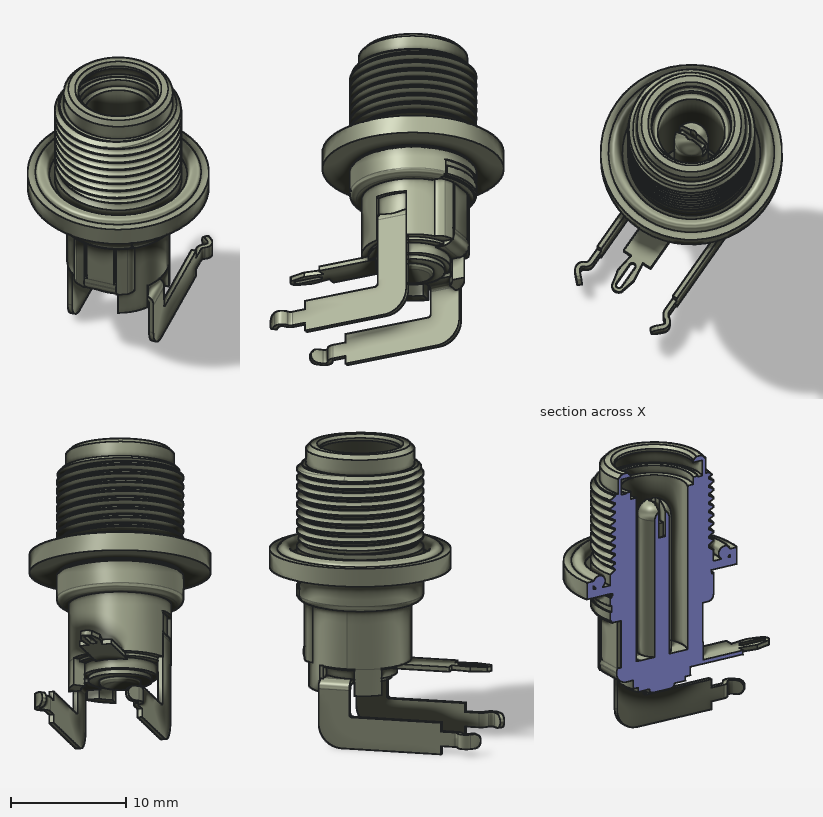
import cadquery as cq
import math


z_top = 10.95
flange_radius = 7.88
flange_height = 1.6
rim_radius = 4.73
rim_chamfer = 0.4
thread_top = 9.2
thread_bottom = 2.18
crest_radius = 5.52
root_radius = 5.02
thread_pitch = 0.8
thread_crest_width = 0.118
thread_flank_angle = 30.0
thread_depth = crest_radius - root_radius
collar_top = 1.85

seal_radius = 6.62
seal_section_radius = 0.63
seal_height = 1.37
recess_outer_radius = 7.2
recess_floor = 0.85

mouth_radius = 3.75
mouth_chamfer = 0.3
bore_step_radius = 3.47
clip_groove_radius = 4.35
clip_ledge_radius = 3.95
clip_ledge_height = 0.08
clip_groove_top = z_top - 0.53
clip_groove_bottom = z_top - 1.92
bore_step_floor = z_top - 2.52
bore_radius = 2.92
bore_floor = -6.83

pin_radius = 1.47
pin_top = 7.35
pin_hole_radius = 0.45
pin_slot_width = 0.65
pin_slot_depth = 3.15
pin_blade_width = 2.47
pin_blade_rear_y = 0.15
pin_blade_drop = 1.85

neck_radius = 5.35
neck_relief_radius = 5.28
neck_relief_bottom = -0.15
nut_top = -0.32
nut_bottom = -2.86
nut_fillet = 0.58
window_half_width = 2.97
window_top = -1.13
window_floor_radius = 5.39
latch_half_width = 2.86
latch_top = -1.68
latch_bottom = -2.73
latch_chamfer = 0.25

body_radius = 4.47
body_bottom = -8.15
base_radius = 3.9
base_bottom = -8.4
boss_radius = 3.23
boss_bottom = -9.35
boss_tip_radius = 2.75
boss_tip_bottom = -9.75
rivet_radius = 1.8
rivet_bottom = -10.15
rivet_fillet = 0.35

rib_radius = 4.85
rib_half_width = 2.36
rib_root_half_width = 2.78
rib_root_y = -math.sqrt(body_radius**2 - rib_root_half_width**2)
rib_flank_sagitta = 0.085
contact_half_width = 1.47
contact_y = -4.73
contact_bend_radius = 1.05
contact_bevel_bottom = -7.43
contact_bevel_top = -7.07
panel_half_width = 1.23
panel_y = -4.65
slot_floor_y = -4.25
spring_tip_y = -2.18
spring_bend_radius = 0.63
spring_bend_angle = 45.0

lug_bottom = -10.53
lug_inner_radius = 3.42
lug_front_x = 1.47
lug_rear_angle = 40.0
lug_slot_front_y = -2.65
lug_slot_rear_y = 0.68
lug_slot_step_x = 3.6
lug_slot_step_y = -2.35

sheet = 0.42
terminal_x = 3.97
terminal_bottom = z_top - 26.27
arm_top = -12.5
arm_end_y = 8.4
arm_corner_radius = 2.1
arm_inner_radius = 0.25
leg_width = 2.75
left_leg_front_y = -1.4
right_leg_front_y = -2.6
left_fold_z = -6.17
right_fold_z = -10.1
fold_radius = 0.8
left_slot_half_width = 1.42
left_slot_top = -4.02
left_slot_radius = 4.1
left_root_x = 3.15
right_root_x = 2.36
tail_bottom = -14.58
tail_top = -13.3
tail_bend_y = 9.65
tail_bends = (
    (-65, 0.58, 0.03),
    (110, 0.53, 1.08),
)
tail_corner_radius = 0.63

tab_top = body_bottom
tab_half_width = 1.42
eye_neck_half_width = 0.6
eye_half_width = 0.85
eye_mid_y = 10.15
eye_tip_half_width = 0.5
eye_tip_y = 11.82
eye_slot_width = 0.55
eye_slot_start_y = 8.85
eye_slot_end_y = 11.48


def cylinder(radius, z_low, z_high):
    return cq.Workplane("XY").workplane(offset=z_low).circle(radius).extrude(z_high - z_low)


def box(x_range, y_range, z_range):
    """Box from its limits along each axis."""
    lows, highs = zip(x_range, y_range, z_range)
    sizes = [high - low for low, high in zip(lows, highs)]
    return cq.Workplane("XY").box(*sizes, centered=False).translate(lows)


def revolve(points):
    """Turn a closed (radius, z) outline about Z."""
    return cq.Workplane("XZ").polyline(points).close().revolve(360, (0, 0, 0), (0, 1, 0))


def extrude_along_x(profile, x_low, x_high):
    """Extrude a closed YZ profile between two X positions."""
    return profile.extrude(x_high - x_low).translate((x_low, 0, 0))


def make_neck():
    return revolve([
        (0, 0),
        (flange_radius, 0),
        (flange_radius, flange_height),
        (recess_outer_radius, flange_height),
        (recess_outer_radius, recess_floor),
        (crest_radius, recess_floor),
        (crest_radius, collar_top),
        (root_radius, thread_bottom),
        (root_radius, thread_top),
        (rim_radius, thread_top),
        (rim_radius, z_top - rim_chamfer),
        (rim_radius - rim_chamfer, z_top),
        (0, z_top),
    ])


def make_thread():
    """Right-handed V ridge, trimmed by a cone at each end."""
    ridge_start = thread_bottom - thread_pitch / 2
    ridge_height = thread_top - thread_bottom + 2 * thread_pitch
    embed = 0.05
    crest_half = thread_crest_width / 2
    base_half = crest_half + (thread_depth + embed) * math.tan(math.radians(thread_flank_angle))
    section = cq.Workplane("XZ").polyline([
        (root_radius - embed, ridge_start - base_half),
        (crest_radius, ridge_start - crest_half),
        (crest_radius, ridge_start + crest_half),
        (root_radius - embed, ridge_start + base_half),
    ]).close()
    helix = cq.Wire.makeHelix(thread_pitch, ridge_height, root_radius)
    helix = helix.translate(cq.Vector(0, 0, ridge_start))
    ridge = section.sweep(cq.Workplane(obj=helix), isFrenet=True)
    envelope = revolve([
        (0, thread_bottom),
        (root_radius, thread_bottom),
        (crest_radius + embed, thread_bottom + thread_depth + embed),
        (crest_radius + embed, thread_top - thread_depth),
        (root_radius + embed, thread_top),
        (0, thread_top),
    ])
    return ridge.intersect(envelope)


def make_seal():
    section = cq.Workplane("XZ").center(seal_radius, seal_height).circle(seal_section_radius)
    return section.revolve(360, (-seal_radius, 0, 0), (-seal_radius, 1, 0))


def make_bore():
    return revolve([
        (0, z_top),
        (mouth_radius, z_top),
        (bore_step_radius, z_top - mouth_chamfer),
        (bore_step_radius, clip_groove_top),
        (clip_groove_radius, clip_groove_top),
        (clip_groove_radius, clip_groove_bottom),
        (clip_ledge_radius, clip_groove_bottom),
        (clip_ledge_radius, clip_groove_bottom + clip_ledge_height),
        (bore_step_radius, clip_groove_bottom + clip_ledge_height),
        (bore_step_radius, bore_step_floor),
        (bore_radius, bore_step_floor),
        (bore_radius, bore_floor),
        (0, bore_floor),
    ])


def make_pin():
    """Domed pin, cross-slotted along X, with a flat blade against the -Y wall of the slot."""
    pin = cylinder(pin_radius, bore_floor, pin_top - pin_radius)
    pin = pin.union(cq.Workplane("XY").sphere(pin_radius).translate((0, 0, pin_top - pin_radius)))
    slot_floor = pin_top - pin_slot_depth
    half_slot = pin_slot_width / 2
    half_blade = pin_blade_width / 2
    pin = pin.cut(cylinder(pin_hole_radius, slot_floor, pin_top))
    pin = pin.cut(box((-pin_radius, pin_radius), (-half_slot, half_slot), (slot_floor, pin_top)))
    blade_top = pin_top - pin_blade_drop
    return pin.union(box((-half_blade, half_blade), (-half_slot, pin_blade_rear_y), (slot_floor, blade_top)))


def make_nut():
    """Round collar with a latch in a window on its -Y side."""
    nut = cylinder(crest_radius, nut_bottom, nut_top).faces("<Z").edges().fillet(nut_fillet)
    window_x = (-window_half_width, window_half_width)
    window_y = (-flange_radius, 0)
    window = box(window_x, window_y, (nut_bottom, window_top))
    nut = nut.cut(window.cut(cylinder(window_floor_radius, nut_bottom, window_top)))
    nut = nut.cut(box(window_x, window_y, (nut_bottom, latch_bottom)))
    latch = cylinder(crest_radius, latch_bottom, latch_top).faces("<Z").edges().chamfer(latch_chamfer)
    latch = latch.intersect(
        box((-latch_half_width, latch_half_width), window_y, (latch_bottom, latch_top)))
    nut = nut.union(latch).union(cylinder(neck_radius, nut_top, neck_relief_bottom))
    return nut.union(cylinder(neck_relief_radius, neck_relief_bottom, 0))


def make_body():
    """Lower housing with its stepped end and riveted tip."""
    body = cylinder(body_radius, body_bottom, nut_top)
    body = body.union(cylinder(base_radius, base_bottom, body_bottom))
    body = body.union(cylinder(boss_radius, boss_bottom, base_bottom))
    body = body.union(cylinder(boss_tip_radius, boss_tip_bottom, boss_bottom))
    rivet = cylinder(rivet_radius, rivet_bottom, boss_tip_bottom)
    rivet = rivet.faces("<Z").edges().fillet(rivet_fillet)
    return body.union(rivet)


def make_rib():
    """Raised -Y sector of the housing with concave flanks."""
    shoulder_y = -math.sqrt(rib_radius**2 - rib_half_width**2)
    return (
        cq.Workplane("XY").workplane(offset=body_bottom)
        .moveTo(-rib_root_half_width, rib_root_y)
        .sagittaArc((-rib_half_width, shoulder_y), -rib_flank_sagitta)
        .threePointArc((0, -rib_radius), (rib_half_width, shoulder_y))
        .sagittaArc((rib_root_half_width, rib_root_y), -rib_flank_sagitta)
        .close()
        .extrude(latch_bottom - body_bottom)
    )


def cut_contact_slot(body):
    """Groove down the middle of the rib, where the contact strip lies."""
    slot_x = (-contact_half_width, contact_half_width)
    return body.cut(box(slot_x, (-flange_radius, slot_floor_y), (base_bottom, latch_bottom)))


def make_contact():
    """Sheet strip bent up from under the housing, narrower and set back above a bevel."""
    bend_z = tab_top - sheet + contact_bend_radius
    bend_y = contact_y + contact_bend_radius
    diagonal = contact_bend_radius * math.sqrt(0.5)
    foot = (
        cq.Workplane("YZ")
        .moveTo(bend_y, tab_top - sheet)
        .threePointArc((bend_y - diagonal, bend_z - diagonal), (contact_y, bend_z))
        .lineTo(contact_y, contact_bevel_bottom)
        .lineTo(panel_y, contact_bevel_top)
        .lineTo(bend_y, contact_bevel_top)
        .close()
    )
    foot = extrude_along_x(foot, -contact_half_width, contact_half_width)
    panel = box((-panel_half_width, panel_half_width), (panel_y, bend_y), (contact_bevel_top, latch_bottom))
    return foot.union(panel)


def make_spring():
    """Contact leaf that curves up from the bore floor toward the -Y wall."""
    wall_y = -bore_radius - sheet

    def bend_point(angle):
        turn = math.radians(angle)
        rise = spring_bend_radius * (1 - math.cos(turn))
        return spring_tip_y - spring_bend_radius * math.sin(turn), bore_floor + rise

    bend_end = bend_point(spring_bend_angle)
    profile = (
        cq.Workplane("YZ")
        .moveTo(wall_y, bore_floor)
        .lineTo(spring_tip_y, bore_floor)
        .threePointArc(bend_point(spring_bend_angle / 2), bend_end)
        .lineTo(wall_y, bend_end[1])
        .close()
    )
    return extrude_along_x(profile, -panel_half_width, panel_half_width)


def make_lug():
    """Ring sector hanging under the +X side, slotted for the right terminal."""
    ring = cylinder(body_radius, lug_bottom, body_bottom)
    ring = ring.cut(cylinder(lug_inner_radius, lug_bottom, body_bottom))
    reach = 2 * body_radius
    rear_angle = math.radians(lug_rear_angle)
    sector = (
        cq.Workplane("XY").workplane(offset=lug_bottom)
        .moveTo(lug_front_x, -reach)
        .lineTo(reach, -reach)
        .lineTo(reach, reach * math.tan(rear_angle))
        .lineTo(lug_front_x, lug_front_x * math.tan(rear_angle))
        .close()
        .extrude(body_bottom - lug_bottom)
    )
    outer_slot = box((lug_slot_step_x, reach), (lug_slot_front_y, lug_slot_rear_y), (lug_bottom, body_bottom))
    inner_slot = box((lug_front_x, reach), (lug_slot_step_y, lug_slot_rear_y), (lug_bottom, body_bottom))
    return ring.intersect(sector).cut(outer_slot).cut(inner_slot)


def cut_left_slot(body):
    """Recess in the -X side down to an inner cylinder, open at the bottom."""
    slot_y = (-left_slot_half_width, left_slot_half_width)
    slot = box((-flange_radius, 0), slot_y, (base_bottom, left_slot_top))
    return body.cut(slot.cut(cylinder(left_slot_radius, base_bottom, left_slot_top)))


def make_terminal_sheet(z_low, z_high):
    """Sheet ribbon on the +X side, bent out and back in at its +Y end."""
    position = [terminal_x, -flange_radius]
    heading = math.radians(90)
    path = cq.Workplane("XY").workplane(offset=z_low).moveTo(*position)

    def step(direction, distance):
        position[0] += distance * math.cos(direction)
        position[1] += distance * math.sin(direction)
        return tuple(position)

    path = path.lineTo(*step(heading, tail_bend_y + flange_radius))
    for turn, bend_radius, straight in tail_bends:
        turn = math.radians(turn)
        half_chord = 2 * bend_radius * abs(math.sin(turn / 4))
        middle = step(heading + turn / 4, half_chord)
        end = step(heading + turn * 3 / 4, half_chord)
        path = path.threePointArc(middle, end)
        heading += turn
        path = path.lineTo(*step(heading, straight))
    height = z_high - z_low
    section = (
        cq.Workplane("XZ", origin=(terminal_x, -flange_radius, z_low + height / 2))
        .rect(sheet, height)
    )
    return section.sweep(path)


def make_terminal(leg_front_y, leg_top):
    """L-shaped terminal on the +X side: the bent sheet trimmed to its side outline."""
    leg_rear_y = leg_front_y + leg_width
    outline = (
        cq.Workplane("YZ")
        .moveTo(leg_front_y, leg_top)
        .lineTo(leg_front_y, terminal_bottom)
        .lineTo(arm_end_y, terminal_bottom)
        .lineTo(arm_end_y, arm_top)
        .lineTo(leg_rear_y, arm_top)
        .lineTo(leg_rear_y, leg_top)
        .close()
    )
    side = extrude_along_x(outline, 0, flange_radius)
    bottom_corner = cq.selectors.NearestToPointSelector((flange_radius / 2, leg_front_y, terminal_bottom))
    inner_corner = cq.selectors.NearestToPointSelector((flange_radius / 2, leg_rear_y, arm_top))
    side = side.edges(bottom_corner).fillet(arm_corner_radius)
    side = side.edges(inner_corner).fillet(arm_inner_radius)
    side = side.union(box((0, flange_radius), (leg_rear_y, 2 * arm_end_y), (tail_bottom, tail_top)))
    terminal = make_terminal_sheet(terminal_bottom, leg_top).intersect(side)
    tip_face = terminal.faces(cq.selectors.DirectionMinMaxSelector(cq.Vector(-1, 1, 0)))
    return tip_face.edges("not |Z").fillet(tail_corner_radius)


def make_terminal_root(leg_front_y, fold_z, inner_x):
    """Sheet that folds inward from the top of a leg, starting at height fold_z."""
    outer_x = terminal_x + sheet / 2
    centre_x = outer_x - fold_radius
    inner_radius = fold_radius - sheet
    diagonal = math.sqrt(0.5)
    profile = (
        cq.Workplane("XZ", origin=(0, leg_front_y + leg_width, 0))
        .moveTo(outer_x, fold_z)
        .threePointArc((centre_x + fold_radius * diagonal, fold_z + fold_radius * diagonal),
                       (centre_x, fold_z + fold_radius))
        .lineTo(inner_x, fold_z + fold_radius)
        .lineTo(inner_x, fold_z + inner_radius)
        .lineTo(centre_x, fold_z + inner_radius)
        .threePointArc((centre_x + inner_radius * diagonal, fold_z + inner_radius * diagonal),
                       (outer_x - sheet, fold_z))
        .close()
    )
    return profile.extrude(leg_width)


def make_full_terminal(leg_front_y, fold_z, root_x):
    return make_terminal(leg_front_y, fold_z).union(make_terminal_root(leg_front_y, fold_z, root_x))


def make_solder_tab():
    """Flat tab under the housing that runs rearward to a slotted eye."""
    tab = box((-tab_half_width, tab_half_width), (contact_y + contact_bend_radius, arm_end_y),
              (tab_top - sheet, tab_top))
    eye = (
        cq.Workplane("XY").workplane(offset=tab_top - sheet)
        .moveTo(-eye_neck_half_width, arm_end_y)
        .lineTo(-eye_half_width, eye_mid_y)
        .lineTo(-eye_tip_half_width, eye_tip_y - eye_tip_half_width / 2)
        .threePointArc((0, eye_tip_y), (eye_tip_half_width, eye_tip_y - eye_tip_half_width / 2))
        .lineTo(eye_half_width, eye_mid_y)
        .lineTo(eye_neck_half_width, arm_end_y)
        .close()
        .extrude(sheet)
    )
    slot = (
        cq.Workplane("XY").workplane(offset=tab_top - sheet)
        .center(0, (eye_slot_start_y + eye_slot_end_y) / 2)
        .slot2D(eye_slot_end_y - eye_slot_start_y, eye_slot_width, 90)
        .extrude(sheet)
    )
    return tab.union(eye).cut(slot)


housing = make_body().union(make_rib())
housing = cut_contact_slot(housing)
housing = cut_left_slot(housing)
housing = housing.union(make_lug())

result = make_neck().union(make_nut()).union(housing)
result = result.cut(make_bore())
result = result.union(make_seal())
result = result.union(make_pin())
result = result.union(make_spring())
result = result.union(make_contact())
result = result.union(make_solder_tab())
left_terminal = make_full_terminal(left_leg_front_y, left_fold_z, left_root_x)
result = result.union(left_terminal.mirror("YZ"))
result = result.union(make_full_terminal(right_leg_front_y, right_fold_z, right_root_x))
result = result.union(make_thread())